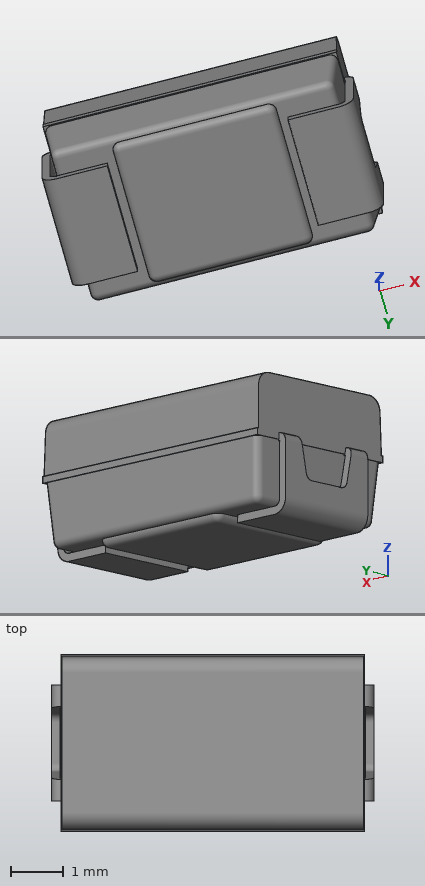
import cadquery as cq

length = 6.1
width = 3.35
height = 2.7

body_length = 5.745
upper_width = 3.28
upper_draft = 1.3
upper_edge_radius = 0.29
flange_bottom = 1.44
flange_top = 1.575
lower_length = 5.72
lower_width = 3.305
lower_draft = 4.6
lower_edge_radius = 0.145
body_bottom = 0.17

pad_length = 3.195
pad_width = 2.89
pad_bottom = 0.02
pad_overlap = 0.06
pad_corner_radius = 0.15
pad_edge_radius = 0.145

strip_thickness = 0.16
strip_width = 2.195
foot_length = 1.28
foot_bend_radius = 0.29
top_bend_radius = 0.18
tab_overlap = 0.06
window_top_width = 1.38
window_floor_width = 1.04
window_floor = 0.72
window_corner_radius = 0.15


def make_upper_body():
    """Slightly drafted upper half with its two long top edges rounded."""
    block = (
        cq.Workplane("XY", origin=(0, 0, flange_top))
        .rect(body_length, upper_width)
        .extrude(height - flange_top, taper=upper_draft)
    )
    return block.faces(">Z").edges("|X").fillet(upper_edge_radius)


def make_flange():
    """Thin parting-line band between the two body halves."""
    return (
        cq.Workplane("XY", origin=(0, 0, flange_bottom))
        .rect(body_length, width)
        .extrude(flange_top - flange_bottom)
    )


def make_lower_body():
    """Lower half narrowing downwards, with rounded corners and bottom edges."""
    block = (
        cq.Workplane("XY", origin=(0, 0, flange_bottom))
        .rect(lower_length, lower_width)
        .extrude(body_bottom - flange_bottom, taper=lower_draft)
    )
    return block.edges("not >Z").fillet(lower_edge_radius)


def make_pad():
    """Rounded rectangular pad, sunk into the body underside."""
    return (
        cq.Workplane("XY", origin=(0, 0, pad_bottom))
        .rect(pad_length, pad_width)
        .extrude(body_bottom + pad_overlap - pad_bottom)
        .edges("|Z")
        .fillet(pad_corner_radius)
        .faces("<Z")
        .edges()
        .fillet(pad_edge_radius)
    )


def make_strip():
    """Constant-thickness C-shaped strip on the -X end, before the window is cut."""
    outer_x = -length / 2
    inner_x = outer_x + strip_thickness
    foot_x = outer_x + foot_length
    tab_x = -body_length / 2 + tab_overlap
    tab_bottom = flange_top - strip_thickness
    inner_foot_radius = foot_bend_radius - strip_thickness
    inner_top_radius = top_bend_radius - strip_thickness
    foot_bend_x = outer_x + foot_bend_radius
    top_bend_x = outer_x + top_bend_radius
    top_bend_z = flange_top - top_bend_radius
    return (
        cq.Workplane("XZ")
        .moveTo(foot_x, 0)
        .lineTo(foot_bend_x, 0)
        .radiusArc((outer_x, foot_bend_radius), foot_bend_radius)
        .lineTo(outer_x, top_bend_z)
        .radiusArc((top_bend_x, flange_top), top_bend_radius)
        .lineTo(tab_x, flange_top)
        .lineTo(tab_x, tab_bottom)
        .lineTo(top_bend_x, tab_bottom)
        .radiusArc((inner_x, top_bend_z), -inner_top_radius)
        .lineTo(inner_x, foot_bend_radius)
        .radiusArc((foot_bend_x, strip_thickness), -inner_foot_radius)
        .lineTo(foot_x, strip_thickness)
        .close()
        .extrude(strip_width / 2, both=True)
    )


def make_window_cutter():
    """Tapered opening that leaves two prongs at the top of the strip."""
    end_gap = (length - body_length) / 2
    return (
        cq.Workplane("YZ", origin=(-length / 2, 0, 0))
        .moveTo(-window_floor_width / 2, window_floor)
        .lineTo(window_floor_width / 2, window_floor)
        .lineTo(window_top_width / 2, flange_top)
        .lineTo(-window_top_width / 2, flange_top)
        .close()
        .extrude(end_gap + tab_overlap)
        .edges("|X and <Z")
        .fillet(window_corner_radius)
    )


body = make_upper_body().union(make_flange()).union(make_lower_body()).union(make_pad())
left_terminal = make_strip().cut(make_window_cutter())
right_terminal = left_terminal.mirror("YZ")

result = body.union(left_terminal).union(right_terminal)